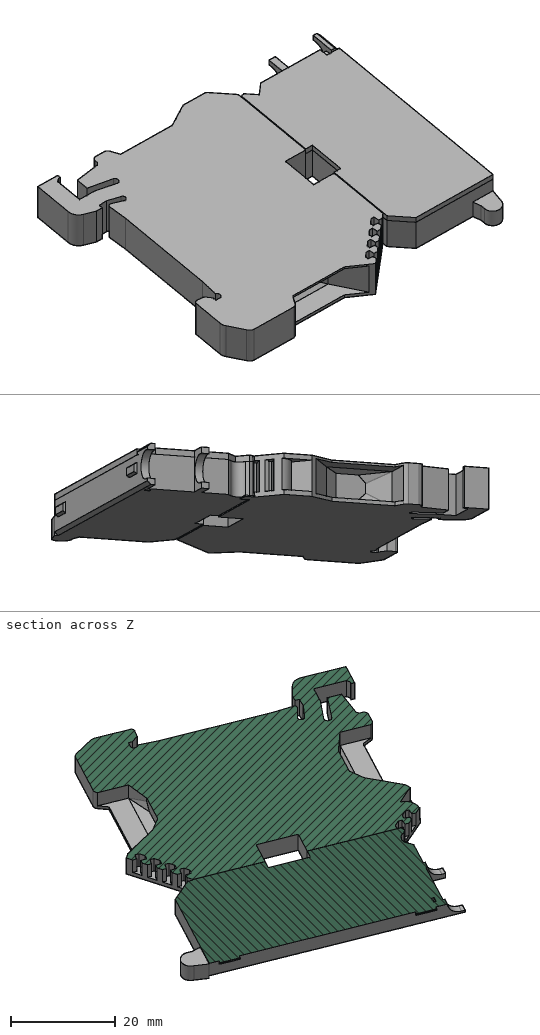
import cadquery as cq
import math


HOUSING_THICKNESS = 8.05
PLUG_BOTTOM = 0.25
LID_BOTTOM = 7.07
LID_TOP = 8.3

HEAD_HALF_WIDTH = 28.9
SEAM_LEFT = -24.52
SEAM_RIGHT = 18.92
HEAD_BOTTOM = -10.06
WAIST_HALF_WIDTH = 25.84
WAIST_TOP = -15.25
WAIST_BOTTOM = -28.03
SHOULDER_HALF_WIDTH = 28.4
SHOULDER_TOP = -29.9
SHOULDER_SLOPE_END = (27.8, -29.05)
SHOULDER_ROUND = 1.2
SHOULDER_BOTTOM = -32.97
SHOULDER_FILLET = 0.95
RAIL_SEAT = -38.8
SEAT_END = -39.08
LEG_BOTTOM = -46.05
LEG_TOE_TOP = -42.19
LEG_LIP_TOP = -41.09
HOOK_BOTTOM = -43.66

SIDE_WALL = 0.96
RECESS_CEILING = LID_BOTTOM
RECESS_BOTTOM_Y = HEAD_BOTTOM
RECESS_POST_X = -25.75
RECESS_POST_Y = -4.12
RECESS_POST_RADIUS = 2.8
RECESS_CORNER = (-25.84, -7.0)
ENTRY_FLOOR = 0.76
ENTRY_CEILING = 7.58
ENTRY_TOP = -10.73
ENTRY_BOTTOM = SHOULDER_SLOPE_END[1]
FUNNEL_START_X = 21.51
FUNNEL_START_TOP = -15.71
FUNNEL_DEPTH = 2.0
FUNNEL_FLOOR = 1.98
FUNNEL_CEILING = 6.86
FUNNEL_TOP = -18.4
FUNNEL_BOTTOM = -24.4
FACET_TOP = -22.9
FACET_FLOOR = 3.4
FACET_CEILING = 5.3
CUT_OVERRUN = 1.0

GROOVE_PITCH = 3.15
RIGHT_GROOVES = 4
RIGHT_GROOVE_START = 2.35
LEFT_GROOVES = 2
LEFT_GROOVE_START = 0.0
LEFT_SLOPE_ANGLE = -135
GROOVE_MOUTH = 1.0
GROOVE_WAIST = 0.41
GROOVE_WAIST_DEPTH = 0.6
GROOVE_BELLY = 1.17
GROOVE_BELLY_DEPTH = 1.57
GROOVE_FLOOR = 0.6
GROOVE_DEPTH = 2.1

WINDOW_HALF_WIDTH = 4.24
WINDOW_TOP = 1.65
WINDOW_BOTTOM = -5.02

LEDGE_LEFT = -24.62
LEDGE_WIDTH = 2.9
LEDGE_LENGTH = 1.93
LEDGE_LAP = 0.1

PLUG_HALF_WIDTH = 24.06
PLUG_TOP = 23.04
PLUG_EDGE_CHAMFER = 0.7
BEVEL_TOP = 3.95
BEVEL_FOOT = 20.11
NOTCH_TOP = 5.17
NOTCH_APEX = (-21.72, 2.88)
NOTCH_BOTTOM = (-23.81, 0.79)
PLUG_FOOT_LEFT = -23.55
NOTCH_ARC = [(-23.17, 4.3), (-22.4, 3.0), (-23.42, 1.48)]
LID_NOTCH_WIDTH = 1.99
LID_NOTCH_LENGTH = 3.1
SLIT_LEFT = -22.58
SLIT_RIGHT = -22.15
SLIT_LENGTH = 1.0

FORK_TIP = -28.01
FORK_WIDTH = 1.58
FORK_ARM_BOTTOM = 1.46
FORK_ARC_CENTRE_X = -27.24
FORK_POSITIONS = [PLUG_TOP - FORK_WIDTH, 10.5]

LATCH_TOP_Z = 4.05
LATCH_ROOT = 18.03
LATCH_NECK_X = 25.9
LATCH_NOSE_X = 26.95
LATCH_NOSE_Y = 20.55
LATCH_NOSE_RADIUS = HEAD_HALF_WIDTH - LATCH_NOSE_X

TAB_CENTRE_X = 19.98
TAB_WIDTH = 4.17
TAB_HEIGHT = 0.55
TAB_MIDDLE_Z = 4.56
TAB_ROOT_THICKNESS = 2.2
TAB_TIP_THICKNESS = 1.45


def prism(points, bottom, top):
    return cq.Workplane("XY", origin=(0, 0, bottom)).polyline(points).close().extrude(top - bottom)


def box(left, right, near, far, bottom, top):
    return prism([(left, near), (right, near), (right, far), (left, far)], bottom, top)


def polyhedron(faces):
    walls = []
    for corners in faces:
        outline = cq.Wire.makePolygon([cq.Vector(*corner) for corner in corners], close=True)
        walls.append(cq.Face.makeFromWires(outline))
    return cq.Workplane(cq.Solid.makeSolid(cq.Shell.makeShell(walls)))


window = box(-WINDOW_HALF_WIDTH, WINDOW_HALF_WIDTH, WINDOW_BOTTOM, WINDOW_TOP, 0, LID_TOP)


def housing_block():
    outline = (
        cq.Workplane("XY")
        .moveTo(SEAM_RIGHT, 0)
        .lineTo(SEAM_LEFT, 0)
        .lineTo(-HEAD_HALF_WIDTH, -(SEAM_LEFT + HEAD_HALF_WIDTH))
        .lineTo(-HEAD_HALF_WIDTH, HEAD_BOTTOM)
        .lineTo(-WAIST_HALF_WIDTH, WAIST_TOP)
        .lineTo(-WAIST_HALF_WIDTH, WAIST_BOTTOM)
        .lineTo(-SHOULDER_SLOPE_END[0], SHOULDER_SLOPE_END[1])
        .radiusArc((-SHOULDER_HALF_WIDTH, SHOULDER_TOP), -SHOULDER_ROUND)
        .lineTo(-SHOULDER_HALF_WIDTH, SHOULDER_BOTTOM + SHOULDER_FILLET)
        .radiusArc((-SHOULDER_HALF_WIDTH + SHOULDER_FILLET, SHOULDER_BOTTOM), -SHOULDER_FILLET)
        .lineTo(-26.85, SHOULDER_BOTTOM)
        .lineTo(-26.35, -33.4)
        .lineTo(-25.46, SEAT_END)
        .lineTo(-22.53, SEAT_END)
        .lineTo(-21.39, -33.5)
        .threePointArc((-20.72, SHOULDER_BOTTOM), (-19.91, -33.66))
        .lineTo(-21.0, -38.5)
        .lineTo(-21.0, LEG_TOE_TOP)
        .lineTo(-27.62, LEG_TOE_TOP)
        .lineTo(-28.13, -41.55)
        .lineTo(-28.13, LEG_LIP_TOP)
        .lineTo(-HEAD_HALF_WIDTH, LEG_LIP_TOP)
        .lineTo(-HEAD_HALF_WIDTH, LEG_BOTTOM)
        .lineTo(-19.73, LEG_BOTTOM)
        .threePointArc((-18.2, -45.55), (-17.3, -44.3))
        .lineTo(-16.42, -41.81)
        .lineTo(-16.42, -40.35)
        .lineTo(-17.31, -40.35)
        .lineTo(-17.44, -38.5)
        .lineTo(-16.6, -35.6)
        .threePointArc((-15.91, -35.01), (-15.28, -35.69))
        .lineTo(-16.22, -38.24)
        .threePointArc((-16.2, -38.8), (-15.79, SEAT_END))
        .lineTo(-11.36, RAIL_SEAT)
        .lineTo(11.81, RAIL_SEAT)
        .lineTo(16.0, SEAT_END)
        .threePointArc((16.9, -38.55), (17.44, -39.1))
        .lineTo(17.44, -40.1)
        .lineTo(16.68, -40.15)
        .lineTo(15.28, -41.3)
        .lineTo(15.15, -43.0)
        .threePointArc((15.35, -43.45), (15.9, HOOK_BOTTOM))
        .lineTo(22.98, HOOK_BOTTOM)
        .threePointArc((23.65, -43.55), (24.2, -43.25))
        .lineTo(27.6, -40.95)
        .threePointArc((28.2, -40.4), (SHOULDER_HALF_WIDTH, -39.7))
        .lineTo(SHOULDER_HALF_WIDTH, SHOULDER_TOP)
        .radiusArc(SHOULDER_SLOPE_END, -SHOULDER_ROUND)
        .lineTo(WAIST_HALF_WIDTH, WAIST_BOTTOM)
        .lineTo(WAIST_HALF_WIDTH, WAIST_TOP)
        .lineTo(HEAD_HALF_WIDTH, HEAD_BOTTOM)
        .close()
    )
    return outline.extrude(HOUSING_THICKNESS)


def side_recess():
    """Recess in the -X side, with a round post standing in it."""
    outside = -HEAD_HALF_WIDTH - CUT_OVERRUN
    recess = prism(
        [
            (outside, RECESS_POST_Y),
            (RECESS_POST_X, RECESS_POST_Y),
            RECESS_CORNER,
            (-HEAD_HALF_WIDTH, RECESS_BOTTOM_Y),
            (outside, RECESS_BOTTOM_Y),
        ],
        SIDE_WALL,
        RECESS_CEILING,
    )
    post = (
        cq.Workplane("XY")
        .center(RECESS_POST_X, RECESS_POST_Y)
        .circle(RECESS_POST_RADIUS)
        .extrude(HOUSING_THICKNESS)
    )
    return recess.cut(post)


def wire_entry():
    """Wire entry in the -X side: an open mouth that ends in a tapering funnel."""
    outside = -HEAD_HALF_WIDTH - CUT_OVERRUN
    mouth = prism(
        [
            (outside, ENTRY_TOP),
            (-HEAD_HALF_WIDTH, ENTRY_TOP),
            (-FUNNEL_START_X, FUNNEL_START_TOP),
            (-FUNNEL_START_X, ENTRY_BOTTOM),
            (outside, ENTRY_BOTTOM),
        ],
        ENTRY_FLOOR,
        ENTRY_CEILING,
    )
    return mouth.union(funnel())


def funnel():
    """Funnel from a rectangular rim to a smaller six-sided end, two corners of which are cut off."""
    start = -FUNNEL_START_X
    end = start + FUNNEL_DEPTH
    rim_low_top = (start, FUNNEL_START_TOP, ENTRY_FLOOR)
    rim_low_bottom = (start, ENTRY_BOTTOM, ENTRY_FLOOR)
    rim_high_bottom = (start, ENTRY_BOTTOM, ENTRY_CEILING)
    rim_high_top = (start, FUNNEL_START_TOP, ENTRY_CEILING)
    end_low_top = (end, FUNNEL_TOP, FUNNEL_FLOOR)
    end_low_facet = (end, FACET_TOP, FUNNEL_FLOOR)
    end_low_bottom = (end, FUNNEL_BOTTOM, FACET_FLOOR)
    end_high_bottom = (end, FUNNEL_BOTTOM, FACET_CEILING)
    end_high_facet = (end, FACET_TOP, FUNNEL_CEILING)
    end_high_top = (end, FUNNEL_TOP, FUNNEL_CEILING)
    return polyhedron(
        [
            [rim_low_top, rim_low_bottom, rim_high_bottom, rim_high_top],
            [end_low_top, end_low_facet, end_low_bottom, end_high_bottom, end_high_facet, end_high_top],
            [rim_low_top, rim_high_top, end_high_top, end_low_top],
            [rim_low_top, rim_low_bottom, end_low_facet, end_low_top],
            [rim_high_top, rim_high_bottom, end_high_facet, end_high_top],
            [rim_low_bottom, rim_high_bottom, end_high_bottom, end_low_bottom],
            [rim_low_bottom, end_low_facet, end_low_bottom],
            [rim_high_bottom, end_high_facet, end_high_bottom],
        ]
    )


def marker_grooves(corner_x, slope_angle, start, count, bottom, top):
    """Undercut grooves along a slope that runs down from the seam at corner_x at slope_angle degrees."""
    half = [
        (GROOVE_MOUTH, 0),
        (GROOVE_WAIST, GROOVE_WAIST_DEPTH),
        (GROOVE_BELLY, GROOVE_BELLY_DEPTH),
        (GROOVE_FLOOR, GROOVE_DEPTH),
    ]
    profile = half + [(-across, depth) for across, depth in reversed(half)]
    angle = math.radians(slope_angle)
    along = (math.cos(angle), math.sin(angle))
    side = math.copysign(1, along[0])
    inward = (side * along[1], -side * along[0])
    grooves = cq.Workplane("XY")
    for index in range(count):
        distance = start + index * GROOVE_PITCH
        points = [
            (
                corner_x + (distance + across) * along[0] + depth * inward[0],
                (distance + across) * along[1] + depth * inward[1],
            )
            for across, depth in profile
        ]
        grooves = grooves.add(prism(points, bottom, top))
    return grooves.combine()


def make_housing():
    entry = wire_entry()
    housing = housing_block().cut(side_recess()).cut(entry).cut(entry.mirror("YZ")).cut(window)
    right_slope = math.degrees(math.atan2(HEAD_BOTTOM, HEAD_HALF_WIDTH - SEAM_RIGHT))
    right_grooves = marker_grooves(
        SEAM_RIGHT, right_slope, RIGHT_GROOVE_START, RIGHT_GROOVES, SIDE_WALL, HOUSING_THICKNESS
    )
    left_grooves = marker_grooves(
        SEAM_LEFT, LEFT_SLOPE_ANGLE, LEFT_GROOVE_START, LEFT_GROOVES, SIDE_WALL, RECESS_CEILING
    )
    housing = housing.cut(right_grooves).cut(left_grooves)
    ledge = box(LEDGE_LEFT, LEDGE_LEFT + LEDGE_WIDTH, -LEDGE_LAP, LEDGE_LENGTH, 0, PLUG_BOTTOM)
    return housing.union(ledge)


def plug_block():
    return (
        cq.Workplane("XY", origin=(0, 0, PLUG_BOTTOM))
        .moveTo(PLUG_FOOT_LEFT, 0)
        .lineTo(BEVEL_FOOT, 0)
        .lineTo(PLUG_HALF_WIDTH, BEVEL_TOP)
        .lineTo(PLUG_HALF_WIDTH, PLUG_TOP)
        .lineTo(-PLUG_HALF_WIDTH, PLUG_TOP)
        .lineTo(-PLUG_HALF_WIDTH, NOTCH_TOP)
        .lineTo(*NOTCH_ARC[0])
        .threePointArc(NOTCH_ARC[1], NOTCH_ARC[2])
        .lineTo(*NOTCH_BOTTOM)
        .close()
        .extrude(LID_BOTTOM - PLUG_BOTTOM)
        .faces(">Y")
        .edges("<Z")
        .chamfer(PLUG_EDGE_CHAMFER)
    )


def fork(near_y):
    """C-shaped fork reaching out in -X, its gap closed by a half circle."""
    arc_radius = (LID_BOTTOM - FORK_ARM_BOTTOM) / 2
    middle = (LID_BOTTOM + FORK_ARM_BOTTOM) / 2
    return (
        cq.Workplane("XZ", origin=(0, near_y + FORK_WIDTH, 0))
        .moveTo(FORK_TIP, PLUG_BOTTOM)
        .lineTo(-PLUG_HALF_WIDTH, PLUG_BOTTOM)
        .lineTo(-PLUG_HALF_WIDTH, LID_TOP)
        .lineTo(FORK_TIP, LID_TOP)
        .lineTo(FORK_TIP, LID_BOTTOM)
        .lineTo(FORK_ARC_CENTRE_X, LID_BOTTOM)
        .threePointArc((FORK_ARC_CENTRE_X + arc_radius, middle), (FORK_ARC_CENTRE_X, FORK_ARM_BOTTOM))
        .lineTo(FORK_TIP, FORK_ARM_BOTTOM)
        .close()
        .extrude(FORK_WIDTH)
    )


def corner_fork():
    """Fork flush with the +Y face, its upper arm running on into the corner notch of the lid."""
    near_y = FORK_POSITIONS[0]
    root = box(-PLUG_HALF_WIDTH, SLIT_LEFT, near_y, PLUG_TOP, LID_BOTTOM, LID_TOP)
    return fork(near_y).union(root).faces(">Y").edges(">Z or <Z").chamfer(PLUG_EDGE_CHAMFER)


def latch():
    return (
        cq.Workplane("XY", origin=(0, 0, PLUG_BOTTOM))
        .moveTo(PLUG_HALF_WIDTH, LATCH_ROOT)
        .lineTo(LATCH_NECK_X, LATCH_NOSE_Y - LATCH_NOSE_RADIUS)
        .lineTo(LATCH_NOSE_X, LATCH_NOSE_Y - LATCH_NOSE_RADIUS)
        .threePointArc((HEAD_HALF_WIDTH, LATCH_NOSE_Y), (LATCH_NOSE_X, LATCH_NOSE_Y + LATCH_NOSE_RADIUS))
        .lineTo(PLUG_HALF_WIDTH, PLUG_TOP)
        .close()
        .extrude(LATCH_TOP_Z - PLUG_BOTTOM)
    )


def tab(centre_x):
    """Wedge-sided tab on the +Y face."""
    tip = PLUG_TOP + TAB_HEIGHT
    profile = [
        (PLUG_TOP, TAB_MIDDLE_Z - TAB_ROOT_THICKNESS / 2),
        (tip, TAB_MIDDLE_Z - TAB_TIP_THICKNESS / 2),
        (tip, TAB_MIDDLE_Z + TAB_TIP_THICKNESS / 2),
        (PLUG_TOP, TAB_MIDDLE_Z + TAB_ROOT_THICKNESS / 2),
    ]
    left = centre_x - TAB_WIDTH / 2
    return cq.Workplane("YZ", origin=(left, 0, 0)).polyline(profile).close().extrude(TAB_WIDTH)


def make_plug():
    plug = plug_block().cut(window)
    slit_top = FORK_POSITIONS[0]
    plug = plug.cut(box(SLIT_LEFT, SLIT_RIGHT, slit_top - SLIT_LENGTH, slit_top, 0, LID_TOP))
    plug = plug.union(corner_fork()).union(fork(FORK_POSITIONS[1])).union(latch())
    for centre_x in (-TAB_CENTRE_X, TAB_CENTRE_X):
        plug = plug.union(tab(centre_x))
    return plug


def make_lid():
    corner_x = -PLUG_HALF_WIDTH + LID_NOTCH_WIDTH
    corner_y = PLUG_TOP - LID_NOTCH_LENGTH
    outline = [
        (PLUG_FOOT_LEFT, 0),
        (BEVEL_FOOT, 0),
        (PLUG_HALF_WIDTH, BEVEL_TOP),
        (PLUG_HALF_WIDTH, PLUG_TOP),
        (corner_x, PLUG_TOP),
        (corner_x, corner_y),
        (-PLUG_HALF_WIDTH, corner_y),
        (-PLUG_HALF_WIDTH, NOTCH_TOP),
        NOTCH_APEX,
        NOTCH_BOTTOM,
    ]
    return prism(outline, LID_BOTTOM, LID_TOP).cut(window)


housing = make_housing()
plug = make_plug()
lid = make_lid()
result = cq.Compound.makeCompound([housing.val(), plug.val(), lid.val()])